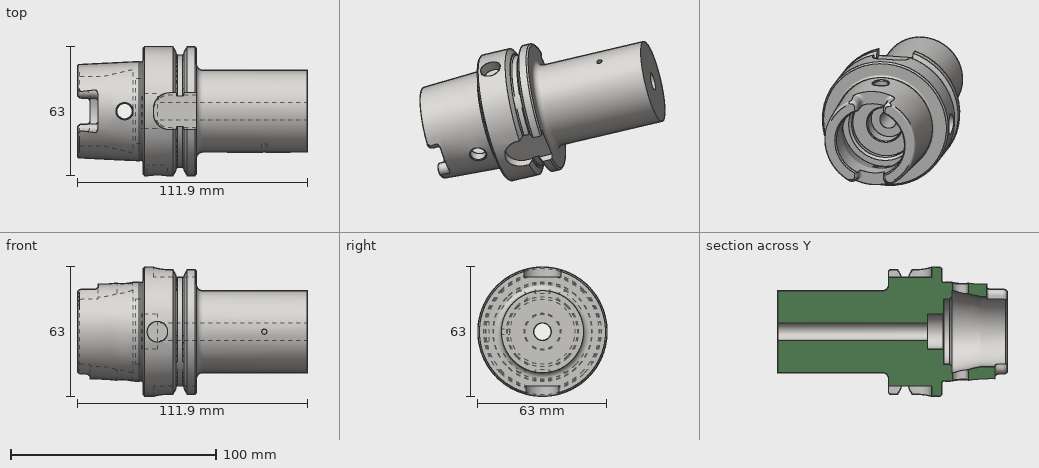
import cadquery as cq
import math

TAPER_LENGTH = 31.9
FLANGE_LENGTH = 26.0
TOTAL_LENGTH = 111.9
BACK_FACE_X = TOTAL_LENGTH - TAPER_LENGTH

GAUGE_DIAMETER = 48.01
GAUGE_OFFSET = 6.3
TAPER_RATIO = 9.98
TAPER_END_ROUND = 1.0
RELIEF_START_X = -1.9
RELIEF_DIAMETER = 47.94
RELIEF_FILLET = 1.05

FLANGE_DIAMETER = 63.0
FLANGE_EDGE_CHAMFER = 0.8
GROOVE_CENTER_X = 18.0
GROOVE_FLOOR_DIAMETER = 55.0
GROOVE_FLOOR_WIDTH = 3.75
GROOVE_MOUTH_WIDTH = 7.0
GROOVE_WALL_ANGLE = 30.0
GROOVE_FLOOR_FILLET = 0.6
NECK_DIAMETER = 40.0
NECK_FILLET = 3.0

MOUTH_DIAMETER = 35.2
MOUTH_CHAMFER_LENGTH = 1.0
BORE_DIAMETER = 34.0
UNDERCUT_START_X = -19.0
UNDERCUT_CONE_END_X = -6.3
UNDERCUT_END_X = -5.0
UNDERCUT_DIAMETER = 40.0
INNER_BORE_DIAMETER = 31.6
INNER_BORE_FLOOR_X = -1.0
COOLANT_BORE_DIAMETER = 17.0
COOLANT_BORE_MOUTH_DIAMETER = 18.0
COOLANT_BORE_DEPTH = 8.0
THROUGH_HOLE_DIAMETER = 8.4

SLOT_WIDTH = 12.54
UPPER_SLOT_DEPTH = 10.0
LOWER_SLOT_DEPTH = 6.0
SLOT_SHELF_Z = 20.7
SLOT_SHELF_FILLET = 3.2
SLOT_END_ROUND = 1.5
SLOT_ENTRY_ROUND = 2.3
SLOT_ENTRY_LENGTH = 2.1

UPPER_KEYWAY_WIDTH = 18.0
LOWER_KEYWAY_WIDTH = 16.0
KEYWAY_START_X = 5.0
KEYWAY_FLOOR_Z = 26.5
KEYWAY_CORNER_RADIUS = 7.99

ACCESS_HOLE_X = -9.0
ACCESS_HOLE_DIAMETER = 7.5
ACCESS_HOLE_MOUTH_DIAMETER = 8.4
DATA_HOLE_X = 7.0
DATA_HOLE_DIAMETER = 10.0
DATA_HOLE_DEPTH = 5.4
PIN_HOLE_X = 59.0
PIN_HOLE_DIAMETER = 2.5
PIN_HOLE_DEPTH = 4.0

CLEARANCE = 5.0
PICK_SLACK = 0.1
MOUTH_PICK_SIZE = 5.0
MOUTH_PICK_HEIGHT = 2.0


def taper_radius(x):
    """Radius of the conical shank at axial station x."""
    return GAUGE_DIAMETER / 2 + (x + GAUGE_OFFSET) / (2 * TAPER_RATIO)


def arc_point(center_a, center_b, radius, angle):
    """Point on an arc in the sketch plane, at an angle in degrees."""
    turn = math.radians(angle)
    return (center_a + radius * math.cos(turn), center_b + radius * math.sin(turn))


def turned_body():
    """Shank, flange and neck as one solid of revolution."""
    relief_r = RELIEF_DIAMETER / 2
    relief_top_r = relief_r + RELIEF_FILLET
    neck_r = NECK_DIAMETER / 2
    neck_top_r = neck_r + NECK_FILLET
    neck_fillet_x = FLANGE_LENGTH + NECK_FILLET
    relief_mid = arc_point(-RELIEF_FILLET, relief_top_r, RELIEF_FILLET, -45)
    neck_mid = arc_point(neck_fillet_x, neck_top_r, NECK_FILLET, -135)
    body = (
        cq.Workplane("XY")
        .moveTo(-TAPER_LENGTH, 0)
        .lineTo(-TAPER_LENGTH, taper_radius(-TAPER_LENGTH))
        .lineTo(RELIEF_START_X, taper_radius(RELIEF_START_X))
        .lineTo(-RELIEF_FILLET, relief_r)
        .threePointArc(relief_mid, (0, relief_top_r))
        .lineTo(0, FLANGE_DIAMETER / 2)
        .lineTo(FLANGE_LENGTH, FLANGE_DIAMETER / 2)
        .lineTo(FLANGE_LENGTH, neck_top_r)
        .threePointArc(neck_mid, (neck_fillet_x, neck_r))
        .lineTo(BACK_FACE_X, neck_r)
        .lineTo(BACK_FACE_X, 0)
        .close()
        .revolve(360, (0, 0, 0), (1, 0, 0))
    )
    at_flange_rim = cq.selectors.RadiusNthSelector(-1)
    body = body.edges("%CIRCLE").edges(at_flange_rim).chamfer(FLANGE_EDGE_CHAMFER)
    return body.faces("<X").edges().fillet(TAPER_END_ROUND)


def gripper_groove():
    """Ring-shaped cutter with sloped upper walls and a straight-walled floor."""
    rim_r = FLANGE_DIAMETER / 2
    floor_r = GROOVE_FLOOR_DIAMETER / 2
    half_floor = GROOVE_FLOOR_WIDTH / 2
    half_mouth = GROOVE_MOUTH_WIDTH / 2
    slope_depth = (half_mouth - half_floor) / math.tan(math.radians(GROOVE_WALL_ANGLE))
    ring = (
        cq.Workplane("XY")
        .moveTo(GROOVE_CENTER_X - half_mouth, rim_r + CLEARANCE)
        .lineTo(GROOVE_CENTER_X - half_mouth, rim_r)
        .lineTo(GROOVE_CENTER_X - half_floor, rim_r - slope_depth)
        .lineTo(GROOVE_CENTER_X - half_floor, floor_r)
        .lineTo(GROOVE_CENTER_X + half_floor, floor_r)
        .lineTo(GROOVE_CENTER_X + half_floor, rim_r - slope_depth)
        .lineTo(GROOVE_CENTER_X + half_mouth, rim_r)
        .lineTo(GROOVE_CENTER_X + half_mouth, rim_r + CLEARANCE)
        .close()
        .revolve(360, (0, 0, 0), (1, 0, 0))
    )
    at_floor = cq.selectors.RadiusNthSelector(0)
    return ring.edges("%CIRCLE").edges(at_floor).fillet(GROOVE_FLOOR_FILLET)


def axial_bores():
    """Clamping bore with conical undercut, inner bore, coolant bore and through hole in one cutter."""
    bore_r = BORE_DIAMETER / 2
    undercut_r = UNDERCUT_DIAMETER / 2
    inner_r = INNER_BORE_DIAMETER / 2
    coolant_r = COOLANT_BORE_DIAMETER / 2
    coolant_mouth_r = COOLANT_BORE_MOUTH_DIAMETER / 2
    through_r = THROUGH_HOLE_DIAMETER / 2
    coolant_end_x = INNER_BORE_FLOOR_X + COOLANT_BORE_DEPTH
    return (
        cq.Workplane("XY")
        .moveTo(-TAPER_LENGTH, 0)
        .lineTo(-TAPER_LENGTH, MOUTH_DIAMETER / 2)
        .lineTo(MOUTH_CHAMFER_LENGTH - TAPER_LENGTH, bore_r)
        .lineTo(UNDERCUT_START_X, bore_r)
        .lineTo(UNDERCUT_CONE_END_X, undercut_r)
        .lineTo(UNDERCUT_END_X, undercut_r)
        .lineTo(UNDERCUT_END_X, bore_r)
        .lineTo(UNDERCUT_END_X + bore_r - inner_r, inner_r)
        .lineTo(INNER_BORE_FLOOR_X, inner_r)
        .lineTo(INNER_BORE_FLOOR_X, coolant_mouth_r)
        .lineTo(INNER_BORE_FLOOR_X + coolant_mouth_r - coolant_r, coolant_r)
        .lineTo(coolant_end_x, coolant_r)
        .lineTo(coolant_end_x, through_r)
        .lineTo(BACK_FACE_X, through_r)
        .lineTo(BACK_FACE_X, 0)
        .close()
        .revolve(360, (0, 0, 0), (1, 0, 0))
    )


def drive_slot(depth):
    """Upper slot cutter: a narrow channel that widens onto a shelf, with rounded end and entry."""
    half = SLOT_WIDTH / 2
    shelf_y = half + SLOT_SHELF_FILLET
    arc_z = SLOT_SHELF_Z - SLOT_SHELF_FILLET
    side_y = taper_radius(0)
    top_z = side_y + CLEARANCE
    entry_x = SLOT_ENTRY_LENGTH - SLOT_ENTRY_ROUND - TAPER_LENGTH
    end_x = depth - TAPER_LENGTH
    arc_mid_y, arc_mid_z = arc_point(shelf_y, arc_z, SLOT_SHELF_FILLET, 135)

    def flank_edges(x):
        """Selector for the channel's flank edges in the plane at x."""
        return cq.selectors.BoxSelector(
            (x - PICK_SLACK, PICK_SLACK - side_y, PICK_SLACK),
            (x + PICK_SLACK, side_y - PICK_SLACK, top_z - PICK_SLACK),
        )

    channel = (
        cq.Workplane("YZ")
        .workplane(offset=entry_x)
        .moveTo(-half, 0)
        .lineTo(half, 0)
        .lineTo(half, arc_z)
        .threePointArc((arc_mid_y, arc_mid_z), (shelf_y, SLOT_SHELF_Z))
        .lineTo(side_y, SLOT_SHELF_Z)
        .lineTo(side_y, top_z)
        .lineTo(-side_y, top_z)
        .lineTo(-side_y, SLOT_SHELF_Z)
        .lineTo(-shelf_y, SLOT_SHELF_Z)
        .threePointArc((-arc_mid_y, arc_mid_z), (-half, arc_z))
        .close()
        .extrude(end_x - entry_x)
    )
    channel = channel.edges(flank_edges(end_x)).fillet(SLOT_END_ROUND)
    front = (
        cq.Workplane("YZ")
        .workplane(offset=entry_x)
        .rect(2 * side_y, 2 * top_z)
        .extrude(-CLEARANCE)
    )
    cutter = channel.union(front)
    cutter = cutter.edges(flank_edges(entry_x)).fillet(SLOT_ENTRY_ROUND)
    upper_half = (
        cq.Workplane("XY")
        .box(2 * TAPER_LENGTH, 4 * side_y, 2 * top_z, centered=(True, True, False))
        .translate((-TAPER_LENGTH, 0, BORE_DIAMETER / 4))
    )
    return cutter.intersect(upper_half)


def keyway(width):
    """Upper keyway cutter with a flat floor and a rounded front end."""
    length = FLANGE_LENGTH - KEYWAY_START_X
    return (
        cq.Workplane("XY")
        .workplane(offset=KEYWAY_FLOOR_Z)
        .center(KEYWAY_START_X + length / 2, 0)
        .rect(length, width)
        .extrude(FLANGE_DIAMETER / 2 - KEYWAY_FLOOR_Z + CLEARANCE)
        .edges("|Z and <X")
        .fillet(KEYWAY_CORNER_RADIUS)
    )


def drill_access_hole(body):
    """Cross hole through the shank along Z, chamfered where it meets the taper."""
    chamfer = (ACCESS_HOLE_MOUTH_DIAMETER - ACCESS_HOLE_DIAMETER) / 2
    surface_r = taper_radius(ACCESS_HOLE_X)
    hole = (
        cq.Workplane("XY")
        .center(ACCESS_HOLE_X, 0)
        .circle(ACCESS_HOLE_DIAMETER / 2)
        .extrude(surface_r + CLEARANCE, both=True)
    )
    body = body.cut(hole)
    for side in (1, -1):
        mouth_z = side * surface_r
        mouth = cq.selectors.BoxSelector(
            (ACCESS_HOLE_X - MOUTH_PICK_SIZE, -MOUTH_PICK_SIZE, mouth_z - MOUTH_PICK_HEIGHT),
            (ACCESS_HOLE_X + MOUTH_PICK_SIZE, MOUTH_PICK_SIZE, mouth_z + MOUTH_PICK_HEIGHT),
            boundingbox=True,
        )
        body = body.edges(mouth).chamfer(chamfer)
    return body


def front_hole(x, diameter, surface_diameter, depth):
    """Blind radial hole entering from the -Y side."""
    floor_y = depth - surface_diameter / 2
    return (
        cq.Workplane("XZ", origin=(x, floor_y, 0))
        .circle(diameter / 2)
        .extrude(depth + CLEARANCE)
    )


def upside_down(cutter):
    """The same cutter turned half a revolution about the X axis."""
    return cutter.rotate((0, 0, 0), (1, 0, 0), 180)


result = turned_body()
result = result.cut(gripper_groove())
result = result.cut(axial_bores())
result = drill_access_hole(result)
result = result.cut(drive_slot(UPPER_SLOT_DEPTH))
result = result.cut(upside_down(drive_slot(LOWER_SLOT_DEPTH)))
result = result.cut(keyway(UPPER_KEYWAY_WIDTH))
result = result.cut(upside_down(keyway(LOWER_KEYWAY_WIDTH)))
result = result.cut(front_hole(DATA_HOLE_X, DATA_HOLE_DIAMETER, FLANGE_DIAMETER, DATA_HOLE_DEPTH))
result = result.cut(front_hole(PIN_HOLE_X, PIN_HOLE_DIAMETER, NECK_DIAMETER, PIN_HOLE_DEPTH))